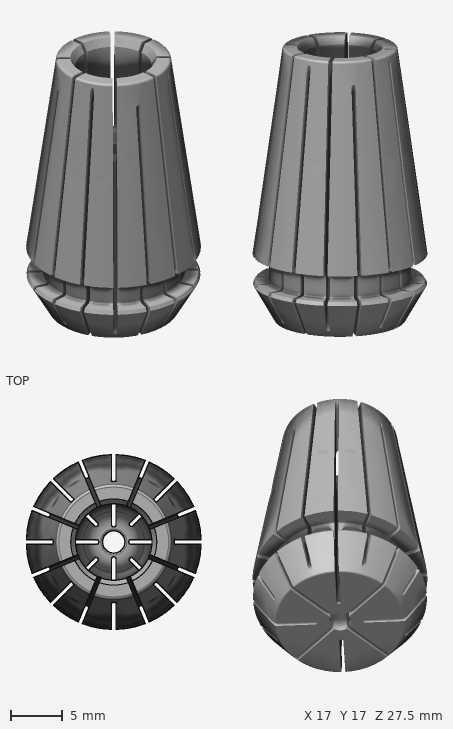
import cadquery as cq
import math

length = 27.5
taper_base_radius = 8.5
taper_base_height = 6.68
taper_half_angle = 8.0
nose_radius = 6.32
nose_half_angle = 30.0
lip_top_height = 4.05
neck_radius = 6.9
edge_radius = 0.2
lip_chamfer_width = 0.2
lip_chamfer_height = 0.35
rear_edge_radius = 0.28

grip_radius = 1.07
clearance_radius = 3.7
clearance_floor = 17.52
clearance_floor_fillet = 0.75
clearance_mouth_radius = 4.18
mouth_half_angle = 30.0

slit_width = 0.4
blade_reach = 33.0
cross_slit_end = (5.88, 25.2)
cross_slit_lean = 30.0
diagonal_slit_end = (5.7, 27.1)
diagonal_slit_lean = 20.0
diagonal_slit_foot = (2.23, 0.0)
diagonal_foot_lean = -15.0
rear_slit_foot = (6.7, 0.7)
rear_slit_lean = -10.0

ring_margin = 0.015


def tangent(degrees):
    return math.tan(math.radians(degrees))


def ring_at(radius, height):
    """Selects the circular edge of the given radius and height, centred on the axis."""
    outer_size = radius + ring_margin
    inner_size = radius - ring_margin
    bottom = height - ring_margin
    top = height + ring_margin
    outer = cq.selectors.BoxSelector(
        (-outer_size, -outer_size, bottom), (outer_size, outer_size, top), boundingbox=True
    )
    inner = cq.selectors.BoxSelector(
        (-inner_size, -inner_size, bottom), (inner_size, inner_size, top), boundingbox=True
    )
    return outer - inner


def make_body():
    """Turned collet blank: tapered shank, neck and conical nose, with all its bores."""
    rear_radius = taper_base_radius - (length - taper_base_height) * tangent(taper_half_angle)
    lip_chamfer_foot = lip_top_height - lip_chamfer_height
    lip_radius = nose_radius + lip_chamfer_foot * tangent(nose_half_angle)
    mouth_depth = (clearance_mouth_radius - clearance_radius) / tangent(mouth_half_angle)
    profile = [
        (grip_radius, 0),
        (nose_radius, 0),
        (lip_radius, lip_chamfer_foot),
        (lip_radius - lip_chamfer_width, lip_top_height),
        (neck_radius, lip_top_height),
        (neck_radius, taper_base_height),
        (taper_base_radius, taper_base_height),
        (rear_radius, length),
        (clearance_mouth_radius, length),
        (clearance_radius, length - mouth_depth),
        (clearance_radius, clearance_floor),
        (grip_radius, clearance_floor),
    ]
    body = cq.Workplane("XZ").polyline(profile).close().revolve(360, (0, 0), (0, 1))
    body = body.edges(ring_at(rear_radius, length)).fillet(rear_edge_radius)
    body = body.edges(ring_at(clearance_radius, clearance_floor)).fillet(clearance_floor_fillet)
    for radius, height in [
        (nose_radius, 0),
        (grip_radius, clearance_floor),
        (neck_radius, lip_top_height),
        (neck_radius, taper_base_height),
    ]:
        body = body.edges(ring_at(radius, height)).fillet(edge_radius)
    return body


def slit_blade(end_point, lean):
    """Round-edged blade whose edge passes through a radius and height point.

    The edge leans outward from the axis by the given angle as it rises,
    and the blade lies on the outer side of that edge.
    """
    half_width = slit_width / 2
    section = (
        cq.Workplane("XY")
        .moveTo(blade_reach, -half_width)
        .lineTo(half_width, -half_width)
        .threePointArc((0, 0), (half_width, half_width))
        .lineTo(blade_reach, half_width)
        .close()
    )
    blade = section.extrude(blade_reach, both=True)
    radius, height = end_point
    return blade.rotate((0, 0, 0), (0, 1, 0), lean).translate((radius, 0, height))


def cut_slits(body, blade, first_angle, spacing):
    """Cuts one slit shape at even spacing around the axis."""
    for index in range(round(360 / spacing)):
        angle = first_angle + index * spacing
        body = body.cut(blade.rotate((0, 0, 0), (0, 0, 1), angle))
    return body


cross_blade = slit_blade(cross_slit_end, cross_slit_lean)

diagonal_blade = slit_blade(diagonal_slit_end, diagonal_slit_lean).intersect(
    slit_blade(diagonal_slit_foot, diagonal_foot_lean)
)

rear_blade = slit_blade(rear_slit_foot, rear_slit_lean)

result = make_body()
result = cut_slits(result, cross_blade, 0, 90)
result = cut_slits(result, diagonal_blade, 45, 90)
result = cut_slits(result, rear_blade, 22.5, 45)